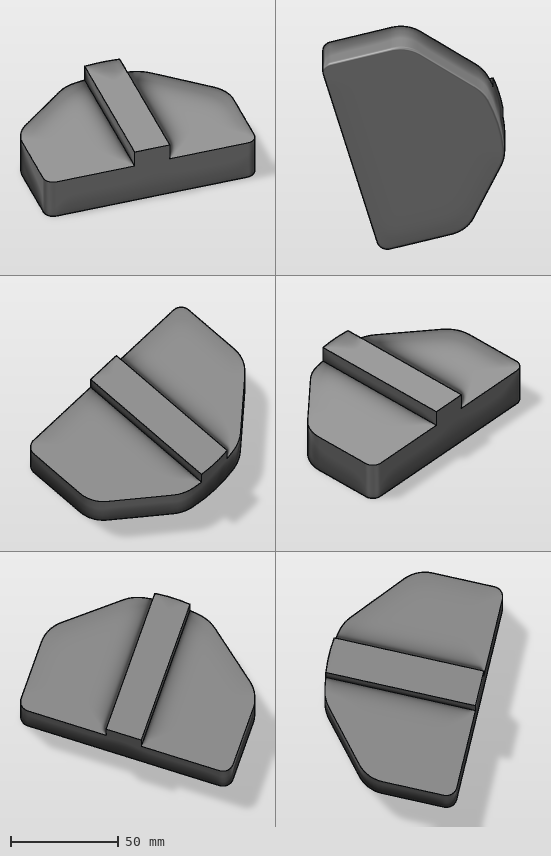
import cadquery as cq
import math

length_x = 72.0
width_y = 104.0
height_z = 28.5

rib_height = 8.0
rib_width = 17.3
base_height = height_z - rib_height
bottom_fillet = 1.5

slant_angle = math.radians(50)
nose_radius = 78.0
nose_half_width = 13.6
nose_corner_reach = 22.6
nose_corner_radius = 18.7
shoulder_radius = 16.0
back_corner_radius = 5.0

half_x = length_x / 2
half_y = width_y / 2


def arc_middle(start, end, radius):
    """Middle of an arc that turns clockwise from start to end, bulging to the left."""
    chord_x = end[0] - start[0]
    chord_y = end[1] - start[1]
    chord = math.hypot(chord_x, chord_y)
    rise = radius - math.sqrt(radius**2 - (chord / 2) ** 2)
    middle_x = (start[0] + end[0]) / 2 - chord_y / chord * rise
    middle_y = (start[1] + end[1]) / 2 + chord_x / chord * rise
    return middle_x, middle_y


def mirrored(point):
    return point[0], -point[1]


def make_outline():
    """Closed plan outline, symmetric about the X axis."""
    nose_depth = nose_radius - math.sqrt(nose_radius**2 - nose_half_width**2)
    nose_end = (-half_x + nose_depth, nose_half_width)

    nose_tilt = math.asin(nose_half_width / nose_radius)
    slant_tilt = math.pi / 2 - slant_angle
    corner_depth = nose_corner_radius * (math.cos(nose_tilt) - math.cos(slant_tilt))
    slant_start = (nose_end[0] + corner_depth, nose_corner_reach)

    slant_end_y = half_y - shoulder_radius * (1 - math.cos(slant_angle))
    slant_end_x = slant_start[0] + (slant_end_y - slant_start[1]) / math.tan(slant_angle)
    slant_end = (slant_end_x, slant_end_y)
    flank_start = (slant_end_x + shoulder_radius * math.sin(slant_angle), half_y)

    corner_middle = arc_middle(nose_end, slant_start, nose_corner_radius)
    shoulder_middle = arc_middle(slant_end, flank_start, shoulder_radius)
    return (
        cq.Workplane("XY")
        .moveTo(*mirrored(nose_end))
        .threePointArc((-half_x, 0), nose_end)
        .threePointArc(corner_middle, slant_start)
        .lineTo(*slant_end)
        .threePointArc(shoulder_middle, flank_start)
        .lineTo(half_x, half_y)
        .lineTo(half_x, -half_y)
        .lineTo(*mirrored(flank_start))
        .threePointArc(mirrored(shoulder_middle), mirrored(slant_end))
        .lineTo(*mirrored(slant_start))
        .threePointArc(mirrored(corner_middle), mirrored(nose_end))
        .close()
    )


def make_base():
    base = make_outline().extrude(base_height)
    base = base.edges("|Z and >X").fillet(back_corner_radius)
    return base.faces("<Z").edges().fillet(bottom_fillet)


def make_rib():
    """Full-length rib, its front end following the bowed nose."""
    strip = (
        cq.Workplane("XY")
        .workplane(offset=base_height)
        .rect(length_x, rib_width)
        .extrude(rib_height)
    )
    return make_outline().extrude(height_z).intersect(strip)


result = make_base().union(make_rib())